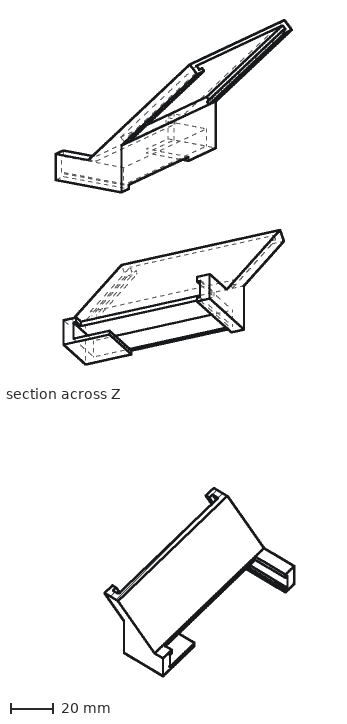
import cadquery as cq
import math

pocket_width = 72.76
pocket_height = 8.5
side_wall = 5.2
floor_thickness = 2.0
roof_thickness = 2.37
back_wall = 2.0
lip_overhang = 1.5
block_length = 36.5
arm_length = 18.07
short_arm_setback = 13.03
floor_tab_width = 24.1

total_width = pocket_width + 2 * side_wall
block_height = floor_thickness + pocket_height + roof_thickness
mouth_width = pocket_width - 2 * lip_overhang

plate_angle = 45.0
plate_length = 79.92
plate_skin = 2.0
plate_slot_depth = 2.23
plate_lip_thickness = 1.6
plate_slot_width = 75.5
plate_opening_width = 70.8
plate_thickness = plate_skin + plate_slot_depth + plate_lip_thickness

cos_angle = math.cos(math.radians(plate_angle))
sin_angle = math.sin(math.radians(plate_angle))


def plate_point(along, below):
    """XZ point at a distance up the plate and a depth square to its upper face."""
    x = arm_length + along * cos_angle + below * sin_angle
    z = block_height + along * sin_angle - below * cos_angle
    return (x, z)


plate_root = (block_length - arm_length - plate_thickness * sin_angle) / cos_angle


def box(x_range, y_range, z_range):
    """Axis-aligned box between the given limits."""
    size = [high - low for low, high in (x_range, y_range, z_range)]
    corner = (x_range[0], y_range[0], z_range[0])
    return cq.Workplane("XY").box(*size, centered=False).translate(corner)


def extrude_profile(points, width):
    """Extrude an XZ outline by a width centred on the XZ plane."""
    return cq.Workplane("XZ").polyline(points).close().extrude(width / 2, both=True)


def make_body():
    """Side profile of the block and plate, over the full width."""
    outline = [
        (0, 0),
        (block_length, 0),
        plate_point(plate_root, plate_thickness),
        plate_point(plate_length, plate_thickness),
        plate_point(plate_length, 0),
        plate_point(0, 0),
        (0, block_height),
    ]
    return extrude_profile(outline, total_width)


def cut_pocket(body):
    """Cut the blind pocket and open its roof and floor between the lips."""
    half_pocket = pocket_width / 2
    half_mouth = mouth_width / 2
    pocket = box(
        (0, block_length - back_wall),
        (-half_pocket, half_pocket),
        (floor_thickness, floor_thickness + pocket_height),
    )
    roof_opening = box(
        (0, arm_length),
        (-half_mouth, half_mouth),
        (floor_thickness, block_height),
    )
    floor_opening = box(
        (0, block_length),
        (-half_mouth, total_width / 2 - floor_tab_width),
        (0, floor_thickness),
    )
    return body.cut(pocket).cut(roof_opening).cut(floor_opening)


def shorten_arm(body):
    """Set the +Y arm and the floor tab back from the mouth."""
    removed = box((0, short_arm_setback), (0, total_width / 2), (0, block_height))
    return body.cut(removed)


def cut_plate_channel(body, top_depth, bottom_depth, width):
    """Cut a channel between two depths, open at the upper end of the plate."""
    outline = [
        plate_point(plate_root, top_depth),
        plate_point(plate_length, top_depth),
        plate_point(plate_length, bottom_depth),
        plate_point(plate_root, bottom_depth),
    ]
    return body.cut(extrude_profile(outline, width))


def cut_plate_slot(body):
    """Cut the T-slot: a wide channel under the skin and a narrower opening between lips."""
    lip_depth = plate_skin + plate_slot_depth
    body = cut_plate_channel(body, plate_skin, lip_depth, plate_slot_width)
    return cut_plate_channel(body, plate_skin, plate_thickness, plate_opening_width)


result = cut_plate_slot(shorten_arm(cut_pocket(make_body())))